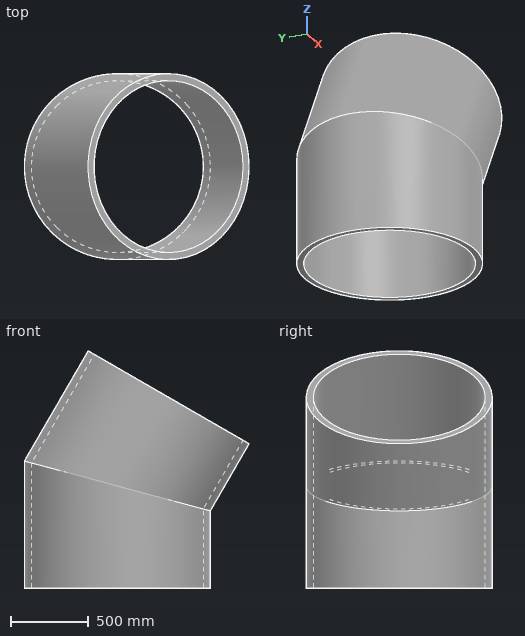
import cadquery as cq
import math

outer_diameter = 1200.0
inner_diameter = 1108.2
bend_angle = 30.0
inside_length = 500.0

outer_radius = outer_diameter / 2
mitre_angle = math.radians(bend_angle / 2)
mitre_rise = outer_radius * math.tan(mitre_angle)
axis_length = inside_length + mitre_rise
outside_length = axis_length + mitre_rise


def make_lower_leg():
    """Vertical tube standing on Z = 0, with its top cut along the mitre plane."""
    tube = (
        cq.Workplane("XY")
        .circle(outer_radius)
        .circle(inner_diameter / 2)
        .extrude(outside_length)
    )
    overhang = outer_radius
    reach = outer_radius + overhang
    reach_rise = reach * math.tan(mitre_angle)
    wedge_top = axis_length + 2 * reach_rise
    wedge = (
        cq.Workplane("XZ")
        .moveTo(-reach, axis_length + reach_rise)
        .lineTo(reach, axis_length - reach_rise)
        .lineTo(reach, wedge_top)
        .lineTo(-reach, wedge_top)
        .close()
        .extrude(reach, both=True)
    )
    return tube.cut(wedge)


def make_upper_leg(lower_leg):
    """The lower leg reflected in the mitre plane, which turns it by the bend angle."""
    mitre_normal = (math.sin(mitre_angle), 0, math.cos(mitre_angle))
    mitre_centre = (0, 0, axis_length)
    return lower_leg.mirror(mitre_normal, mitre_centre)


lower_leg = make_lower_leg()
upper_leg = make_upper_leg(lower_leg)
result = lower_leg.union(upper_leg)